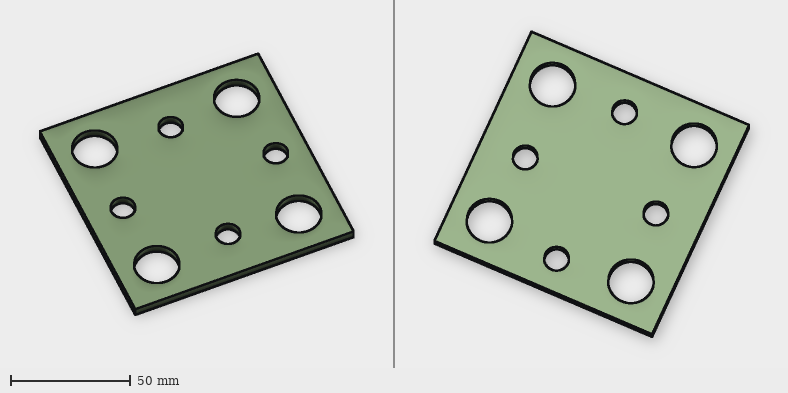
import cadquery as cq

plate_side = 100.0
plate_thickness = 4.2

corner_hole_diameter = 19.1
corner_hole_spacing = 65.0

small_hole_diameter = 10.4
small_hole_spacing_x = 60.0
small_hole_spacing_y = 70.0
small_pattern_offset_y = 1.2

plate = cq.Workplane("XY").box(plate_side, plate_side, plate_thickness)

plate = (
    plate.faces(">Z").workplane()
    .rarray(corner_hole_spacing, corner_hole_spacing, 2, 2)
    .hole(corner_hole_diameter)
)

small_hole_centers = [
    (-small_hole_spacing_x / 2, 0),
    (small_hole_spacing_x / 2, 0),
    (0, -small_hole_spacing_y / 2),
    (0, small_hole_spacing_y / 2),
]
result = (
    plate.faces(">Z").workplane(origin=(0, small_pattern_offset_y, 0))
    .pushPoints(small_hole_centers)
    .hole(small_hole_diameter)
)